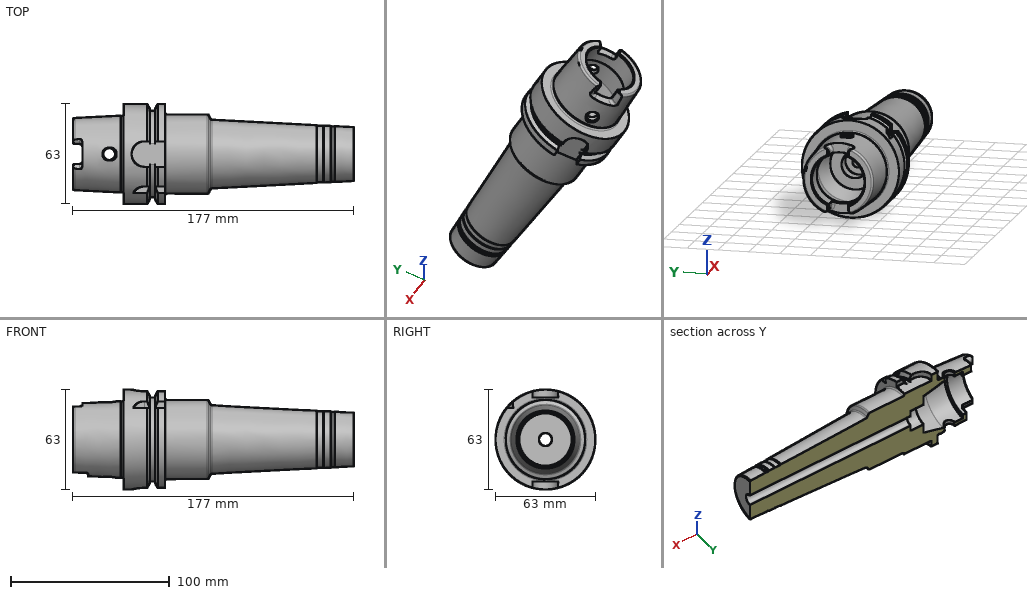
import cadquery as cq
import math


SHANK_LENGTH = 32.0
GAUGE_RADIUS = 48.04 / 2
GAUGE_X = -6.3
TAPER_PER_MM = 1 / 9.98 / 2
TAPER_END_X = -2.1
NECK_START_X = -1.6
SHANK_TIP_ROUND = 1.3
SEAT_FILLET = 1.0

FLANGE_RADIUS = 31.5
FLANGE_WIDTH = 26.0
GRIP_GROOVE_RADIUS = 27.3
GRIP_GROOVE_CENTRE = 18.1
GRIP_GROOVE_MOUTH = 6.7
GRIP_GROOVE_FLOOR = 3.1
GRIP_GROOVE_WALL_ANGLE = 60.0
FLANGE_BACK_FILLET = 1.0

BODY_RADIUS = 25.0
NOSE_START = 54.9
NOSE_END = 145.0
NOSE_END_RADIUS = 17.0
NOSE_HALF_ANGLE = 3.0
SHOULDER_ANGLE = 62.0
SHOULDER_FILLET = 1.0
NOSE_TIP_CHAMFER = 0.5
RING_GROOVES = ((121.2, 125.9), (130.2, 132.9))
RING_GROOVE_DEPTH = 0.25
RING_GROOVE_RUNOUT = 0.4

MOUTH_RADIUS = 17.0
MOUTH_CHAMFER = 0.6
MOUTH_DEPTH = 12.8
CHAMBER_RADIUS = 20.0
CHAMBER_END_DEPTH = 28.0
BORE_FLOOR_RADIUS = 15.8
BORE_DEPTH = 43.0
COUNTERBORE_RADIUS = 16.92 / 2
COUNTERBORE_DEPTH = 10.0
THROUGH_HOLE_RADIUS = 4.0

CROSS_HOLE_RADIUS = 7.5 / 2
CROSS_HOLE_X = -9.1
COUNTERSINK_START = 23.15
COUNTERSINK_END = 25.0

TIP_SLOT_DEPTHS = {1: 6.1, -1: 9.7}
TIP_SLOT_HALF_WIDTH = 6.2
TIP_SLOT_LAND_HEIGHT = 20.9
TIP_SLOT_EDGE_ROUND = 3.3
TIP_SLOT_FLOOR_FILLET = 1.75
TIP_SLOT_CHAMFER_WIDTH = 1.0
TIP_SLOT_CHAMFER_LENGTH = 0.8

CUTTER_RADIUS = 8.0
CUTTER_STOP_X = 13.0
FLANGE_SLOT_FLOOR = 26.5
NOTCH_WALL_Y = -20.4
NOTCH_FLOOR_Z = 19.9

TIP_X = -SHANK_LENGTH
BEYOND = 40.0


def turned(profile):
    """Solid of revolution about X from an outline drawn as (x, radius)."""
    return profile.close().revolve(360, (0, 0, 0), (1, 0, 0))


def cylinder_along_x(x_start, x_end, radius):
    return cq.Workplane("YZ", origin=(x_start, 0, 0)).circle(radius).extrude(x_end - x_start)


def shank():
    tip_radius = GAUGE_RADIUS - TAPER_PER_MM * (GAUGE_X - TIP_X)
    taper_end_radius = GAUGE_RADIUS + TAPER_PER_MM * (TAPER_END_X - GAUGE_X)
    blank = turned(
        cq.Workplane("XY")
        .moveTo(TIP_X, 0)
        .lineTo(TIP_X, tip_radius)
        .lineTo(TAPER_END_X, taper_end_radius)
        .lineTo(NECK_START_X, GAUGE_RADIUS)
        .lineTo(0, GAUGE_RADIUS)
        .lineTo(0, 0)
    )
    return blank.faces("<X").edges().fillet(SHANK_TIP_ROUND)


def concave_round(face_x, shaft_radius, size, direction):
    """Round in the corner between a flange face and the shaft leaving it along +X or -X."""
    rim_radius = shaft_radius + size
    end_x = face_x + direction * size
    arc_mid = size * math.sqrt(0.5)
    return turned(
        cq.Workplane("XY")
        .moveTo(face_x, 0)
        .lineTo(face_x, rim_radius)
        .threePointArc(
            (end_x - direction * arc_mid, rim_radius - arc_mid),
            (end_x, shaft_radius),
        )
        .lineTo(end_x, 0)
    )


def flange():
    mouth_start = GRIP_GROOVE_CENTRE - GRIP_GROOVE_MOUTH / 2
    mouth_end = GRIP_GROOVE_CENTRE + GRIP_GROOVE_MOUTH / 2
    floor_start = GRIP_GROOVE_CENTRE - GRIP_GROOVE_FLOOR / 2
    floor_end = GRIP_GROOVE_CENTRE + GRIP_GROOVE_FLOOR / 2
    wall_run = floor_start - mouth_start
    wall_foot_radius = FLANGE_RADIUS - wall_run * math.tan(math.radians(GRIP_GROOVE_WALL_ANGLE))
    return turned(
        cq.Workplane("XY")
        .moveTo(0, 0)
        .lineTo(0, FLANGE_RADIUS)
        .lineTo(mouth_start, FLANGE_RADIUS)
        .lineTo(floor_start, wall_foot_radius)
        .lineTo(floor_start, GRIP_GROOVE_RADIUS)
        .lineTo(floor_end, GRIP_GROOVE_RADIUS)
        .lineTo(floor_end, wall_foot_radius)
        .lineTo(mouth_end, FLANGE_RADIUS)
        .lineTo(FLANGE_WIDTH, FLANGE_RADIUS)
        .lineTo(FLANGE_WIDTH, 0)
    )


def body_and_nose():
    """Body behind the flange, the sloping shoulder and the conical nose."""

    def cone_radius(x):
        return NOSE_END_RADIUS + (NOSE_END - x) * math.tan(math.radians(NOSE_HALF_ANGLE))

    nose_start_radius = cone_radius(NOSE_START)
    shoulder_run = (BODY_RADIUS - nose_start_radius) / math.tan(math.radians(SHOULDER_ANGLE))
    body_end = NOSE_START - shoulder_run
    sleeve = turned(
        cq.Workplane("XY")
        .moveTo(FLANGE_WIDTH, 0)
        .lineTo(FLANGE_WIDTH, BODY_RADIUS)
        .lineTo(body_end, BODY_RADIUS)
        .lineTo(NOSE_START, nose_start_radius)
        .lineTo(NOSE_END, NOSE_END_RADIUS)
        .lineTo(NOSE_END, 0)
    )
    shoulder_edges = cq.selectors.BoxSelector(
        (body_end - SHOULDER_FILLET, -BEYOND, -BEYOND),
        (NOSE_START + SHOULDER_FILLET, BEYOND, BEYOND),
        boundingbox=True,
    )
    sleeve = sleeve.edges("%CIRCLE").edges(shoulder_edges).fillet(SHOULDER_FILLET)
    sleeve = sleeve.faces(">X").edges().chamfer(NOSE_TIP_CHAMFER)

    for start, end in RING_GROOVES:
        floor_start = start + RING_GROOVE_RUNOUT
        floor_end = end - RING_GROOVE_RUNOUT
        groove = turned(
            cq.Workplane("XY")
            .moveTo(start, BEYOND)
            .lineTo(start, cone_radius(start))
            .lineTo(floor_start, cone_radius(floor_start) - RING_GROOVE_DEPTH)
            .lineTo(floor_end, cone_radius(floor_end) - RING_GROOVE_DEPTH)
            .lineTo(end, cone_radius(end))
            .lineTo(end, BEYOND)
        )
        sleeve = sleeve.cut(groove)
    return sleeve


def bore():
    """Chamfered mouth, wider clamping chamber with a conical end, counterbore and through hole."""
    floor_x = TIP_X + BORE_DEPTH
    cavity = turned(
        cq.Workplane("XY")
        .moveTo(TIP_X, 0)
        .lineTo(TIP_X, MOUTH_RADIUS + MOUTH_CHAMFER)
        .lineTo(TIP_X + MOUTH_CHAMFER, MOUTH_RADIUS)
        .lineTo(TIP_X + MOUTH_DEPTH, MOUTH_RADIUS)
        .lineTo(TIP_X + MOUTH_DEPTH, CHAMBER_RADIUS)
        .lineTo(TIP_X + CHAMBER_END_DEPTH, CHAMBER_RADIUS)
        .lineTo(floor_x, BORE_FLOOR_RADIUS)
        .lineTo(floor_x, 0)
    )
    counterbore = cylinder_along_x(floor_x, floor_x + COUNTERBORE_DEPTH, COUNTERBORE_RADIUS)
    through_hole = cylinder_along_x(floor_x, NOSE_END, THROUGH_HOLE_RADIUS)
    return cavity.union(counterbore).union(through_hole)


def cross_hole():
    """Hole through both shank walls, countersunk at 45 degrees on the outside."""
    countersink_height = COUNTERSINK_END - COUNTERSINK_START
    half_section = (
        cq.Workplane("XZ")
        .moveTo(0, 0)
        .lineTo(CROSS_HOLE_RADIUS, 0)
        .lineTo(CROSS_HOLE_RADIUS, COUNTERSINK_START)
        .lineTo(CROSS_HOLE_RADIUS + countersink_height, COUNTERSINK_END)
        .lineTo(0, COUNTERSINK_END)
        .close()
    )
    upper = half_section.revolve(360, (0, 0, 0), (0, 1, 0))
    lower = upper.mirror("XY")
    return upper.union(lower).translate((CROSS_HOLE_X, 0, 0))


def tip_slot(side):
    """Driving slot in the shank tip, with rounded outer edges and a filleted floor."""
    round_mid = TIP_SLOT_EDGE_ROUND * (1 - math.sqrt(0.5))
    wall_top = TIP_SLOT_LAND_HEIGHT - TIP_SLOT_EDGE_ROUND
    land_start = TIP_SLOT_HALF_WIDTH + TIP_SLOT_EDGE_ROUND
    slot = (
        cq.Workplane("YZ", origin=(TIP_X, 0, 0))
        .moveTo(-TIP_SLOT_HALF_WIDTH, 0)
        .lineTo(-TIP_SLOT_HALF_WIDTH, wall_top)
        .threePointArc(
            (-TIP_SLOT_HALF_WIDTH - round_mid, TIP_SLOT_LAND_HEIGHT - round_mid),
            (-land_start, TIP_SLOT_LAND_HEIGHT),
        )
        .lineTo(-BEYOND, TIP_SLOT_LAND_HEIGHT)
        .lineTo(-BEYOND, BEYOND)
        .lineTo(BEYOND, BEYOND)
        .lineTo(BEYOND, TIP_SLOT_LAND_HEIGHT)
        .lineTo(land_start, TIP_SLOT_LAND_HEIGHT)
        .threePointArc(
            (TIP_SLOT_HALF_WIDTH + round_mid, TIP_SLOT_LAND_HEIGHT - round_mid),
            (TIP_SLOT_HALF_WIDTH, wall_top),
        )
        .lineTo(TIP_SLOT_HALF_WIDTH, 0)
        .close()
        .extrude(TIP_SLOT_DEPTHS[side])
        .faces(">X")
        .edges()
        .fillet(TIP_SLOT_FLOOR_FILLET)
    )
    chamfer_half_width = TIP_SLOT_HALF_WIDTH + TIP_SLOT_CHAMFER_WIDTH
    wall_chamfer = (
        cq.Workplane("XY")
        .moveTo(TIP_X, -chamfer_half_width)
        .lineTo(TIP_X, chamfer_half_width)
        .lineTo(TIP_X + TIP_SLOT_CHAMFER_LENGTH, TIP_SLOT_HALF_WIDTH)
        .lineTo(TIP_X + TIP_SLOT_CHAMFER_LENGTH, -TIP_SLOT_HALF_WIDTH)
        .close()
        .extrude(BEYOND)
    )
    slot = slot.union(wall_chamfer)
    if side < 0:
        slot = slot.rotate((0, 0, 0), (1, 0, 0), 180)
    return slot


def milled_pocket(floor_z, centre_y):
    """Cut of an upright end mill run along X into the flange from its back, up from floor_z."""
    back = FLANGE_WIDTH + FLANGE_BACK_FILLET
    return (
        cq.Workplane("XY", origin=(0, centre_y, floor_z))
        .moveTo(back, -CUTTER_RADIUS)
        .lineTo(CUTTER_STOP_X, -CUTTER_RADIUS)
        .threePointArc((CUTTER_STOP_X - CUTTER_RADIUS, 0), (CUTTER_STOP_X, CUTTER_RADIUS))
        .lineTo(back, CUTTER_RADIUS)
        .close()
        .extrude(BEYOND)
    )


holder = shank().union(flange()).union(body_and_nose())
holder = holder.union(concave_round(0, GAUGE_RADIUS, SEAT_FILLET, -1))
holder = holder.union(concave_round(FLANGE_WIDTH, BODY_RADIUS, FLANGE_BACK_FILLET, 1))
holder = holder.cut(bore()).cut(cross_hole())

for z_side in (1, -1):
    holder = holder.cut(tip_slot(z_side))

flange_slot = milled_pocket(FLANGE_SLOT_FLOOR, 0)
orientation_notch = milled_pocket(NOTCH_FLOOR_Z, NOTCH_WALL_Y - CUTTER_RADIUS)
holder = holder.cut(flange_slot).cut(flange_slot.mirror("XY"))
result = holder.cut(orientation_notch)